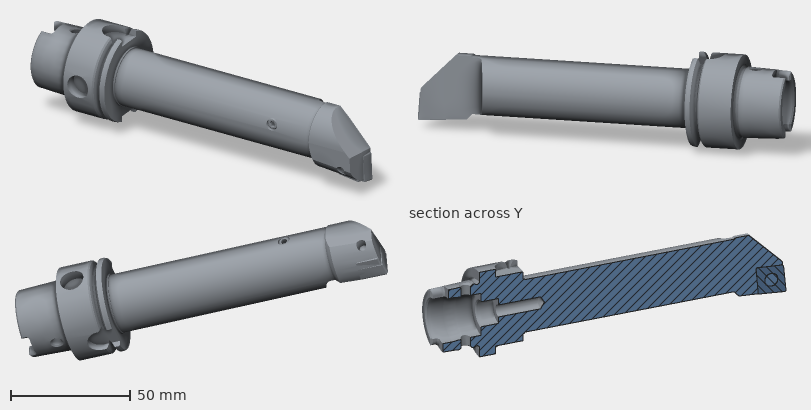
import cadquery as cq
import math


LENGTH = 159.9

TAPER_END = 17.9
TAPER_SMALL_RADIUS = 14.4
TAPER_LARGE_RADIUS = 15.0
TAPER_CHAMFER = 0.6
NECK_RADIUS = 14.5
NECK_START = 18.5
NECK_END = 19.3

FLANGE_START = 20.0
FLANGE_END = 40.0
FLANGE_RADIUS = 20.0
FLANGE_CHAMFER_LENGTH = 0.8
FLANGE_CHAMFER_DEPTH = 0.3
FACE_RECESS_RADIUS = 16.0
FACE_RECESS_DEPTH = 0.2
FACE_RECESS_INNER_RADIUS = 15.3
GROOVE_CENTER = 35.8
GROOVE_FLOOR_RADIUS = 16.8
GROOVE_FLOOR_WIDTH = 0.5
GROOVE_MOUTH_WIDTH = 3.8
GROOVE_ROOT_CHAMFER = 0.3
GROOVE_EDGE_CHAMFER = 0.6

BAR_RADIUS = 12.5
COLLAR_RADIUS = 13.0
COLLAR_LENGTH = 0.8

ENTRY_RADIUS = 10.9
ENTRY_CHAMFER = 0.6
GAUGE_BORE_DEPTH = 8.0
INNER_BORE_START = 13.5
INNER_BORE_RADIUS = 9.8
BORE_DEPTH = 20.8
COOLANT_RECESS_RADIUS = 6.2
COOLANT_RECESS_DEPTH = 28.8
COOLANT_RECESS_CHAMFER = 0.5
COOLANT_HOLE_RADIUS = 2.7
COOLANT_HOLE_DEPTH = 48.0
DRILL_POINT_ANGLE = 118.0

SLOT_HALF_WIDTH = 3.8
SLOT_MOUTH_HALF_WIDTH = 5.1
SLOT_MOUTH_CHAMFER = 0.6
SLOT_END_CHAMFER = 0.8
SLOT_ROUND_RADIUS = 2.5
SLOT_ROUND_START = 10.7
TOP_SLOT_DEPTH = 5.9
BOTTOM_SLOT_DEPTH = 3.4

ACCESS_HOLE_X = 13.9
ACCESS_HOLE_RADIUS = 2.0
ACCESS_HOLE_MOUTH_RADIUS = 2.9

KEYWAY_HALF_WIDTH = 5.5
KEYWAY_START = 27.7
KEYWAY_FLOOR = 16.3
CODING_HOLE_X = 27.0
CODING_HOLE_RADIUS = 5.1
CODING_HOLE_FLOOR = 14.7

HEAD_START = 136.0
HEAD_RADIUS = 13.0
HEAD_STEP_LENGTH = 0.5
HEEL_RADIUS = 14.9
HEEL_START = 138.3
HEEL_SLOPE = 4.5
NOSE_CLEARANCE = 4.0
END_CLEARANCE = 7.0
NOSE_END_TOP = (158.5, -2.5)
NOSE_END_BOTTOM = (159.4, -17.6)

RELIEF_TOP_X = 128.8
RELIEF_CORNER_X = 132.0
RELIEF_FLOOR = 1.8
RELIEF_FILLET = 3.2
RAKE_START = 147.9
RAKE_ANGLE = 4.0

TIP_DROP = 17.0
INSERT_CIRCLE = 12.6
INSERT_CORNER_ANGLE = 80.0
INSERT_EDGE_ANGLE = 5.0
INSERT_THICKNESS = 4.8
INSERT_CLEARANCE = 7.0
INSERT_NOSE_RADIUS = 0.8
INSERT_SIDE_TILT = 3.0
SHIM_THICKNESS = 3.2
SHIM_INSET = 1.0

SCREW_RADIUS = 2.0
SCREW_HEAD_RADIUS = 3.2
SCREW_HEAD_HEIGHT = 2.5
SCREW_LENGTH = 11.2
SCREW_CHAMFER = 0.6
SCREW_HOLE_LENGTH = 19.2

SET_SCREW_X = 117.8
SET_SCREW_Z = 3.2
SET_SCREW_RADIUS = 2.5
SET_SCREW_CHAMFER = 0.5
SET_SCREW_OUTER_Y = 11.5
SET_SCREW_LENGTH = 6.4
SOCKET_WIDTH = 2.9
SOCKET_DEPTH = 2.4


def revolve_about_bar_axis(outline):
    """Turn an outline of (X, radius) points about the X axis."""
    return cq.Workplane("XY").polyline(outline).close().revolve(360, (0, 0, 0), (1, 0, 0))


def turned_blank():
    groove_mouth = GROOVE_MOUTH_WIDTH / 2
    groove_start = GROOVE_CENTER - groove_mouth
    groove_floor = GROOVE_FLOOR_WIDTH / 2
    groove_root = groove_floor + GROOVE_ROOT_CHAMFER
    groove_root_radius = GROOVE_FLOOR_RADIUS + GROOVE_ROOT_CHAMFER
    recess_floor = FLANGE_START + FACE_RECESS_DEPTH
    collar_end = FLANGE_END + COLLAR_LENGTH
    return revolve_about_bar_axis([
        (0, 0),
        (0, TAPER_SMALL_RADIUS - TAPER_CHAMFER),
        (TAPER_CHAMFER, TAPER_SMALL_RADIUS),
        (TAPER_END, TAPER_LARGE_RADIUS),
        (NECK_START, NECK_RADIUS),
        (NECK_END, NECK_RADIUS),
        (recess_floor, FACE_RECESS_INNER_RADIUS),
        (recess_floor, FACE_RECESS_RADIUS),
        (FLANGE_START, FACE_RECESS_RADIUS),
        (FLANGE_START, FLANGE_RADIUS),
        (groove_start, FLANGE_RADIUS),
        (groove_start + GROOVE_EDGE_CHAMFER, FLANGE_RADIUS - GROOVE_EDGE_CHAMFER),
        (GROOVE_CENTER - groove_root, groove_root_radius),
        (GROOVE_CENTER - groove_floor, GROOVE_FLOOR_RADIUS),
        (GROOVE_CENTER + groove_floor, GROOVE_FLOOR_RADIUS),
        (GROOVE_CENTER + groove_root, groove_root_radius),
        (GROOVE_CENTER + groove_mouth, FLANGE_RADIUS),
        (FLANGE_END - FLANGE_CHAMFER_LENGTH, FLANGE_RADIUS),
        (FLANGE_END, FLANGE_RADIUS - FLANGE_CHAMFER_DEPTH),
        (FLANGE_END, COLLAR_RADIUS),
        (collar_end, COLLAR_RADIUS),
        (collar_end, BAR_RADIUS),
        (HEAD_START, BAR_RADIUS),
        (HEAD_START, 0),
    ])


def shank_bore():
    gauge_radius = ENTRY_RADIUS - ENTRY_CHAMFER
    recess_radius = COOLANT_RECESS_RADIUS - COOLANT_RECESS_CHAMFER
    drill_point = COOLANT_HOLE_RADIUS / math.tan(math.radians(DRILL_POINT_ANGLE / 2))
    return revolve_about_bar_axis([
        (0, 0),
        (0, ENTRY_RADIUS),
        (ENTRY_CHAMFER, gauge_radius),
        (GAUGE_BORE_DEPTH, gauge_radius),
        (INNER_BORE_START, INNER_BORE_RADIUS),
        (BORE_DEPTH, INNER_BORE_RADIUS),
        (BORE_DEPTH, COOLANT_RECESS_RADIUS),
        (BORE_DEPTH + COOLANT_RECESS_CHAMFER, recess_radius),
        (COOLANT_RECESS_DEPTH, recess_radius),
        (COOLANT_RECESS_DEPTH, COOLANT_HOLE_RADIUS),
        (COOLANT_HOLE_DEPTH, COOLANT_HOLE_RADIUS),
        (COOLANT_HOLE_DEPTH + drill_point, 0),
    ])


def drive_slot(depth):
    """Slot at the top of the shank mouth whose side walls round outward into the taper."""
    outer_half_width = SLOT_HALF_WIDTH + SLOT_ROUND_RADIUS
    round_top = SLOT_ROUND_START + SLOT_ROUND_RADIUS
    round_offset = SLOT_ROUND_RADIUS * (1 - math.sqrt(0.5))
    round_middle = (SLOT_HALF_WIDTH + round_offset, round_top - round_offset)
    channel = (
        cq.Workplane("YZ")
        .moveTo(-SLOT_HALF_WIDTH, 0)
        .lineTo(SLOT_HALF_WIDTH, 0)
        .lineTo(SLOT_HALF_WIDTH, SLOT_ROUND_START)
        .threePointArc(round_middle, (outer_half_width, round_top))
        .lineTo(outer_half_width, FLANGE_RADIUS)
        .lineTo(-outer_half_width, FLANGE_RADIUS)
        .lineTo(-outer_half_width, round_top)
        .threePointArc((-round_middle[0], round_middle[1]), (-SLOT_HALF_WIDTH, SLOT_ROUND_START))
        .close()
        .extrude(depth)
        .faces(">X")
        .edges(cq.selectors.BoxSelector(
            (0, -outer_half_width, 0), (2 * depth, outer_half_width, round_top), boundingbox=False
        ))
        .edges("|Z or %CIRCLE")
        .chamfer(SLOT_END_CHAMFER)
    )
    mouth = (
        cq.Workplane("XY")
        .polyline([
            (0, -SLOT_MOUTH_HALF_WIDTH),
            (SLOT_MOUTH_CHAMFER, -SLOT_HALF_WIDTH),
            (SLOT_MOUTH_CHAMFER, SLOT_HALF_WIDTH),
            (0, SLOT_MOUTH_HALF_WIDTH),
        ])
        .close()
        .extrude(round_top)
    )
    return channel.union(mouth)


def half_turn(shape):
    """Turn a shape from the top of the bar to its bottom."""
    return shape.rotate((0, 0, 0), (1, 0, 0), 180)


def access_hole():
    """Radial hole through the shank wall, countersunk where it leaves the taper."""
    wall_radius = TAPER_SMALL_RADIUS + (TAPER_LARGE_RADIUS - TAPER_SMALL_RADIUS) * ACCESS_HOLE_X / TAPER_END
    sink_depth = ACCESS_HOLE_MOUTH_RADIUS - ACCESS_HOLE_RADIUS
    return (
        cq.Workplane("XZ", origin=(ACCESS_HOLE_X, 0, 0))
        .polyline([
            (0, 0),
            (ACCESS_HOLE_RADIUS, 0),
            (ACCESS_HOLE_RADIUS, wall_radius - sink_depth),
            (ACCESS_HOLE_MOUTH_RADIUS, wall_radius),
            (ACCESS_HOLE_MOUTH_RADIUS, FLANGE_START),
            (0, FLANGE_START),
        ])
        .close()
        .revolve(360, (0, 0, 0), (0, 1, 0))
    )


def keyway():
    """Round-ended keyway that runs out through the rear face of the flange."""
    round_center = KEYWAY_START + KEYWAY_HALF_WIDTH
    return (
        cq.Workplane("XY", origin=(0, 0, KEYWAY_FLOOR))
        .moveTo(FLANGE_END, -KEYWAY_HALF_WIDTH)
        .lineTo(round_center, -KEYWAY_HALF_WIDTH)
        .threePointArc((KEYWAY_START, 0), (round_center, KEYWAY_HALF_WIDTH))
        .lineTo(FLANGE_END, KEYWAY_HALF_WIDTH)
        .close()
        .extrude(FLANGE_RADIUS - KEYWAY_FLOOR)
    )


def coding_hole():
    return (
        cq.Workplane("XZ", origin=(CODING_HOLE_X, -CODING_HOLE_FLOOR, 0))
        .circle(CODING_HOLE_RADIUS)
        .extrude(FLANGE_RADIUS - CODING_HOLE_FLOOR)
    )


def head_heel():
    """Larger cylinder below the axis, sloping down to the tip, with a flat on its -Y side."""
    size = 4 * HEEL_RADIUS
    heel = (
        cq.Workplane("YZ", origin=(HEEL_START, 0, 0))
        .circle(HEEL_RADIUS)
        .extrude(size, both=True)
        .rotate((HEEL_START, 0, 0), (HEEL_START, 1, 0), HEEL_SLOPE)
    )
    below_axis = (
        cq.Workplane("XY")
        .box(size, size, size, centered=(False, False, False))
        .translate((HEAD_START, -HEAD_RADIUS, -size))
    )
    return heel.intersect(below_axis)


def clearance_prism(outline, angle):
    """Prism from the relief floor toward -Y whose sides lean inward by the clearance angle."""
    return (
        cq.Workplane("XZ", origin=(0, RELIEF_FLOOR, 0))
        .polyline(outline)
        .close()
        .extrude(RELIEF_FLOOR + HEAD_RADIUS, taper=angle)
    )


def head_sides():
    """Material behind the 45 degree nose face and the end face, each with its own clearance."""
    corner_x, corner_z = NOSE_END_TOP
    reach = 2 * HEAD_RADIUS
    far_left = HEAD_START - reach
    behind_nose = clearance_prism([
        (corner_x + reach, corner_z - reach),
        (corner_x - reach, corner_z + reach),
        (far_left, corner_z + reach),
        (far_left, corner_z - reach),
    ], NOSE_CLEARANCE)
    end_slope = (NOSE_END_BOTTOM[0] - corner_x) / (corner_z - NOSE_END_BOTTOM[1])
    behind_end = clearance_prism([
        (corner_x - end_slope * reach, corner_z + reach),
        (far_left, corner_z + reach),
        (far_left, corner_z - reach),
        (corner_x + end_slope * reach, corner_z - reach),
    ], END_CLEARANCE)
    return behind_nose.intersect(behind_end)


def head():
    step_end = HEAD_START + HEAD_STEP_LENGTH
    cone_rise = (HEEL_RADIUS - HEAD_RADIUS) / (HEEL_START - step_end)
    rear_cone = revolve_about_bar_axis([
        (HEAD_START, 0),
        (HEAD_START, BAR_RADIUS),
        (step_end, HEAD_RADIUS),
        (LENGTH, HEAD_RADIUS + cone_rise * (LENGTH - step_end)),
        (LENGTH, 0),
    ])
    round_part = cq.Workplane("YZ", origin=(HEAD_START, 0, 0)).circle(HEAD_RADIUS).extrude(LENGTH - HEAD_START)
    return round_part.union(head_heel()).intersect(rear_cone).intersect(head_sides())


def head_relief():
    """Space cleared on the +Y side: a steep run-out, a flat floor and a shallow rake slope."""
    wall_slope = (RELIEF_CORNER_X - RELIEF_TOP_X) / (BAR_RADIUS - RELIEF_FLOOR)
    top = HEEL_RADIUS
    top_x = RELIEF_TOP_X - wall_slope * (top - BAR_RADIUS)
    rake_drop = (LENGTH - RAKE_START) * math.tan(math.radians(RAKE_ANGLE))
    height = 2 * FLANGE_RADIUS
    return (
        cq.Workplane("XY", origin=(0, 0, -FLANGE_RADIUS))
        .polyline([
            (top_x, top),
            (RELIEF_CORNER_X, RELIEF_FLOOR),
            (RAKE_START, RELIEF_FLOOR),
            (LENGTH, RELIEF_FLOOR - rake_drop),
            (LENGTH, top),
        ])
        .close()
        .extrude(height)
        .edges(cq.selectors.NearestToPointSelector((RELIEF_CORNER_X, RELIEF_FLOOR, 0)))
        .fillet(RELIEF_FILLET)
    )


def insert_plane(depth):
    """Plane parallel to the insert face, depth below it, with its normal pointing into the seat."""
    rake = math.tan(math.radians(RAKE_ANGLE))
    side = math.tan(math.radians(INSERT_SIDE_TILT))
    tip = cq.Vector(LENGTH, 0, -TIP_DROP)
    face_plane = cq.Plane(origin=tip.toTuple(), xDir=(-1, rake, 0), normal=(-rake, -1, side))
    return cq.Workplane(face_plane).workplane(offset=depth)


HALF_CORNER = math.radians(INSERT_CORNER_ANGLE / 2)
BISECTOR = math.radians(-INSERT_EDGE_ANGLE) - HALF_CORNER
CORNER_TO_CENTER = INSERT_CIRCLE / 2 / math.sin(HALF_CORNER)
NOSE_SETBACK = INSERT_NOSE_RADIUS * (math.cos(BISECTOR) / math.sin(HALF_CORNER) - 1)
INSERT_CENTER = (
    CORNER_TO_CENTER * math.cos(BISECTOR) - NOSE_SETBACK,
    CORNER_TO_CENTER * math.sin(BISECTOR) + NOSE_SETBACK,
)


def rhombic_plate(depth, thickness, inset):
    """Rhombic plate with clearance on its sides; inset moves its sides inward from the insert's."""
    circle_radius = INSERT_CIRCLE / 2 - inset
    long_half = circle_radius / math.sin(HALF_CORNER)
    short_half = circle_radius / math.cos(HALF_CORNER)
    corners = [(long_half, 0), (0, short_half), (-long_half, 0), (0, -short_half), (long_half, 0)]
    outline = cq.Sketch().polygon(corners).vertices().fillet(INSERT_NOSE_RADIUS)
    return (
        insert_plane(depth)
        .center(*INSERT_CENTER)
        .transformed(rotate=(0, 0, math.degrees(BISECTOR)))
        .placeSketch(outline)
        .extrude(thickness, taper=INSERT_CLEARANCE)
    )


def insert_plate():
    return rhombic_plate(0, INSERT_THICKNESS, 0)


def shim_plate():
    return rhombic_plate(INSERT_THICKNESS, SHIM_THICKNESS, SHIM_INSET)


def screw_shank(length):
    return insert_plane(0).center(*INSERT_CENTER).circle(SCREW_RADIUS).extrude(length)


def make_insert_screw():
    """Countersunk screw, flush with the insert face and chamfered at its end."""
    shank = screw_shank(SCREW_LENGTH).faces("<Y").chamfer(SCREW_CHAMFER)
    head_angle = math.degrees(math.atan((SCREW_HEAD_RADIUS - SCREW_RADIUS) / SCREW_HEAD_HEIGHT))
    screw_head = (
        insert_plane(0)
        .center(*INSERT_CENTER)
        .circle(SCREW_HEAD_RADIUS)
        .extrude(SCREW_HEAD_HEIGHT, taper=head_angle)
    )
    return shank.union(screw_head)


def make_insert():
    return insert_plate().cut(make_insert_screw())


def make_shim():
    return shim_plate().cut(screw_shank(SCREW_LENGTH))


def set_screw_cylinder(outer_y):
    inner_y = SET_SCREW_OUTER_Y - SET_SCREW_LENGTH
    return (
        cq.Workplane("XZ", origin=(SET_SCREW_X, -inner_y, SET_SCREW_Z))
        .circle(SET_SCREW_RADIUS)
        .extrude(outer_y - inner_y)
    )


def make_set_screw():
    """Set screw with a chamfered outer end and a hexagon socket that ends in a drill point."""
    socket_start = cq.Workplane("XZ", origin=(SET_SCREW_X, -SET_SCREW_OUTER_Y, SET_SCREW_Z))
    socket = socket_start.polygon(6, SOCKET_WIDTH).extrude(-SOCKET_DEPTH)
    point_radius = SOCKET_WIDTH / 2 * math.cos(math.radians(30))
    point_depth = point_radius / math.tan(math.radians(DRILL_POINT_ANGLE / 2))
    point = cq.Workplane(cq.Solid.makeCone(
        point_radius,
        0,
        point_depth,
        cq.Vector(SET_SCREW_X, SOCKET_DEPTH - SET_SCREW_OUTER_Y, SET_SCREW_Z),
        cq.Vector(0, 1, 0),
    ))
    screw = set_screw_cylinder(SET_SCREW_OUTER_Y).faces("<Y").chamfer(SET_SCREW_CHAMFER)
    return screw.cut(socket).cut(point)


def make_holder():
    body = turned_blank().union(head())
    top_cuts = [drive_slot(TOP_SLOT_DEPTH), access_hole(), keyway()]
    bottom_cuts = [half_turn(cut) for cut in (drive_slot(BOTTOM_SLOT_DEPTH), access_hole(), keyway())]
    for cut in top_cuts + bottom_cuts:
        body = body.cut(cut)
    body = body.cut(shank_bore()).cut(coding_hole()).cut(head_relief())
    body = body.cut(set_screw_cylinder(BAR_RADIUS))
    return body.cut(insert_plate()).cut(shim_plate()).cut(screw_shank(SCREW_HOLE_LENGTH))


holder = make_holder()
insert = make_insert()
shim = make_shim()
insert_screw = make_insert_screw()
set_screw = make_set_screw()

result = cq.Compound.makeCompound([
    holder.val(),
    insert.val(),
    shim.val(),
    insert_screw.val(),
    set_screw.val(),
])